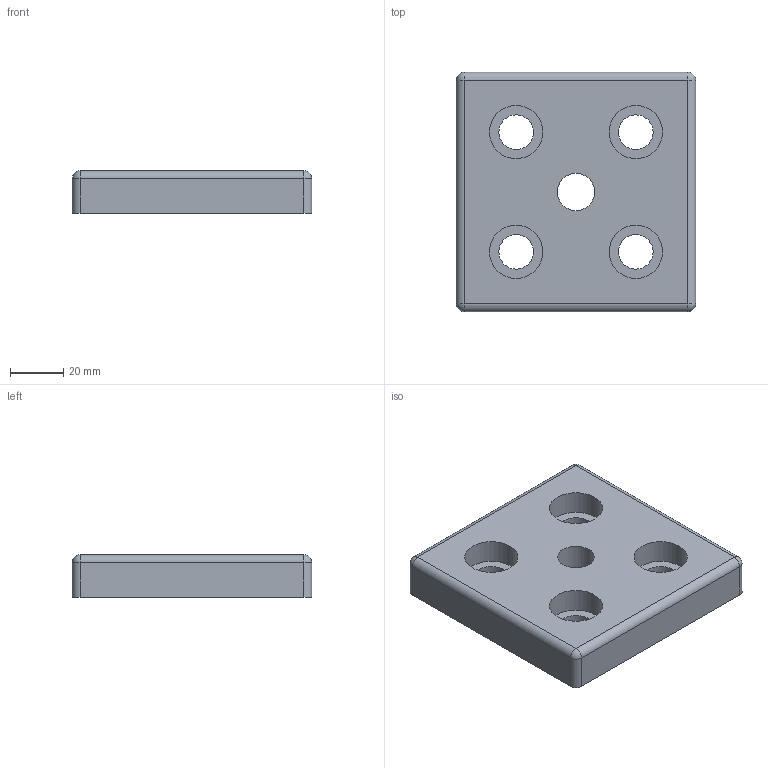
import cadquery as cq

side = 90.0
thickness = 16.0
edge_radius = 3.0

hole_spacing = side / 2
mount_hole_diameter = 13.0
counterbore_diameter = 20.0
counterbore_depth = 9.0

center_hole_diameter = 14.0


def rounded_plate():
    """Square plate with rounded upright edges and a rounded top rim."""
    plate = cq.Workplane("XY").box(side, side, thickness, centered=(True, True, False))
    return plate.edges("|Z or >Z").fillet(edge_radius)


def add_mounting_holes(plate):
    """Cut the four through holes, counterbored from the top face."""
    return (
        plate.faces(">Z")
        .workplane(origin=(0, 0, thickness))
        .rarray(hole_spacing, hole_spacing, 2, 2)
        .cboreHole(mount_hole_diameter, counterbore_diameter, counterbore_depth)
    )


def add_center_hole(plate):
    """Cut the plain through hole in the middle of the plate."""
    return plate.faces(">Z").workplane(origin=(0, 0, thickness)).hole(center_hole_diameter)


result = add_center_hole(add_mounting_holes(rounded_plate()))